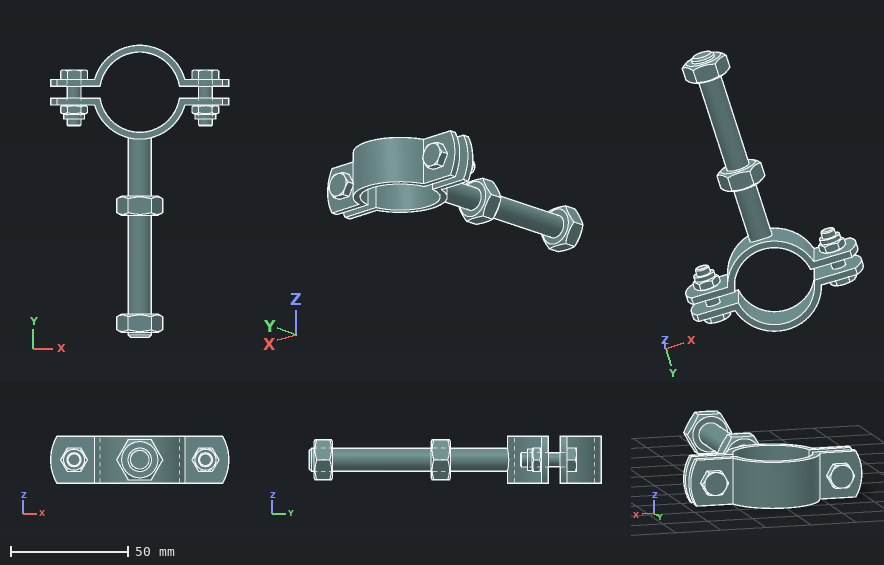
import cadquery as cq
import math


OVERALL_LENGTH = 124.4
RING_RADIUS = 20.0
STRAP_THICKNESS = 3.0
STRAP_HEIGHT = 20.0
CLAMP_GAP = 5.0
CLAMP_WIDTH = 76.0
EAR_TIP_RADIUS = 20.0

BOLT_SPACING = 56.0
BOLT_DIAMETER = 6.0
BOLT_TIP_Y = -14.4
BOLT_TIP_CHAMFER = 0.5
BOLT_HEX = 10.0
BOLT_HEAD_HEIGHT = 4.0
BOLT_HEAD_FACE = 10.0

LOCK_NUT_HEIGHT = 4.0
LOCK_NUT_COLLAR_DIAMETER = 9.0
LOCK_NUT_COLLAR_HEIGHT = 2.0

STUD_DIAMETER = 10.0
STUD_TIP_CHAMFER = 1.0
STUD_NUT_HEX = 17.0
STUD_NUT_FACE = 15.4
MIDDLE_NUT_Y = -44.2
MIDDLE_NUT_HEIGHT = 8.3
END_NUT_Y = -94.5
END_NUT_HEIGHT = 8.0

BEVEL_ANGLE = 30.0

RING_INNER_RADIUS = RING_RADIUS - STRAP_THICKNESS
EAR_INNER_Y = CLAMP_GAP / 2
EAR_OUTER_Y = EAR_INNER_Y + STRAP_THICKNESS
STUD_TIP_Y = RING_RADIUS - OVERALL_LENGTH
BOLT_XS = (-BOLT_SPACING / 2, BOLT_SPACING / 2)


def cylinder_along_y(diameter, x, y_start, y_end):
    """Cylinder parallel to Y, from y_start down to y_end."""
    plane = cq.Workplane("XZ", origin=(x, y_start, 0))
    return plane.circle(diameter / 2).extrude(y_start - y_end)


def hexagon(across_flats, face_diameter, height, x, y_start, bevel_start=True):
    """Hexagonal prism from y_start towards -Y with corners on +X and -X.

    The corners are bevelled at the -Y end, and at the start too when bevel_start is set.
    """
    across_corners = across_flats / math.cos(math.radians(30))
    corner_radius = across_corners / 2
    face_radius = face_diameter / 2
    bevel_height = (corner_radius - face_radius) * math.tan(math.radians(BEVEL_ANGLE))
    prism = cq.Workplane("XZ", origin=(x, y_start, 0)).polygon(6, across_corners).extrude(height)

    envelope = cq.Workplane("XY", origin=(x, y_start, 0))
    if bevel_start:
        envelope = envelope.lineTo(face_radius, 0).lineTo(corner_radius, -bevel_height)
    else:
        envelope = envelope.lineTo(corner_radius, 0)
    envelope = (
        envelope.lineTo(corner_radius, bevel_height - height)
        .lineTo(face_radius, -height)
        .lineTo(0, -height)
        .close()
        .revolve(360, (0, 0, 0), (0, 1, 0))
    )
    return prism.intersect(envelope)


def ear_outline():
    """Prism along Y that rounds the ear tips of both strap halves."""
    half_height = STRAP_HEIGHT / 2
    tip_x = CLAMP_WIDTH / 2
    corner_x = tip_x - EAR_TIP_RADIUS + math.sqrt(EAR_TIP_RADIUS**2 - half_height**2)
    return (
        cq.Workplane("XZ")
        .moveTo(-corner_x, -half_height)
        .lineTo(corner_x, -half_height)
        .threePointArc((tip_x, 0), (corner_x, half_height))
        .lineTo(-corner_x, half_height)
        .threePointArc((-tip_x, 0), (-corner_x, -half_height))
        .close()
        .extrude(RING_RADIUS, both=True)
    )


def strap_half(side):
    """Half ring with two drilled ears; side is +1 for the +Y half and -1 for the -Y half."""
    ear_end_x = CLAMP_WIDTH / 2
    inner_x = math.sqrt(RING_INNER_RADIUS**2 - EAR_INNER_Y**2)
    outer_x = math.sqrt(RING_RADIUS**2 - EAR_OUTER_Y**2)
    strap = (
        cq.Workplane("XY", origin=(0, 0, -STRAP_HEIGHT / 2))
        .moveTo(-ear_end_x, side * EAR_INNER_Y)
        .lineTo(-inner_x, side * EAR_INNER_Y)
        .threePointArc((0, side * RING_INNER_RADIUS), (inner_x, side * EAR_INNER_Y))
        .lineTo(ear_end_x, side * EAR_INNER_Y)
        .lineTo(ear_end_x, side * EAR_OUTER_Y)
        .lineTo(outer_x, side * EAR_OUTER_Y)
        .threePointArc((0, side * RING_RADIUS), (-outer_x, side * EAR_OUTER_Y))
        .lineTo(-ear_end_x, side * EAR_OUTER_Y)
        .close()
        .extrude(STRAP_HEIGHT)
        .intersect(ear_outline())
    )
    for x in BOLT_XS:
        strap = strap.cut(cylinder_along_y(BOLT_DIAMETER, x, EAR_OUTER_Y, -EAR_OUTER_Y))
    return strap


def stud_clamp():
    """The -Y strap half with the stud welded to the middle of its ring."""
    root_y = STRAP_THICKNESS / 2 - RING_RADIUS
    stud = cylinder_along_y(STUD_DIAMETER, 0, root_y, STUD_TIP_Y)
    stud = stud.faces("<Y").chamfer(STUD_TIP_CHAMFER)
    return strap_half(-1).union(stud)


def clamp_bolt(x):
    """Hexagon-head bolt with its head against the +Y ear."""
    shank = cylinder_along_y(BOLT_DIAMETER, x, EAR_OUTER_Y, BOLT_TIP_Y)
    shank = shank.faces("<Y").chamfer(BOLT_TIP_CHAMFER)
    head = hexagon(BOLT_HEX, BOLT_HEAD_FACE, BOLT_HEAD_HEIGHT, x, -EAR_OUTER_Y, bevel_start=False)
    return shank.union(head.mirror("XZ"))


def lock_nut(x):
    """Hexagon nut with a round collar, against the -Y ear."""
    collar_start_y = -EAR_OUTER_Y - LOCK_NUT_HEIGHT
    collar_end_y = collar_start_y - LOCK_NUT_COLLAR_HEIGHT
    body = hexagon(BOLT_HEX, LOCK_NUT_COLLAR_DIAMETER, LOCK_NUT_HEIGHT, x, -EAR_OUTER_Y)
    collar = cylinder_along_y(LOCK_NUT_COLLAR_DIAMETER, x, collar_start_y, collar_end_y)
    bore = cylinder_along_y(BOLT_DIAMETER, x, -EAR_OUTER_Y, collar_end_y)
    return body.union(collar).cut(bore)


def stud_nut(y_start, height):
    """Hexagon nut on the stud, bevelled at both ends."""
    bore = cylinder_along_y(STUD_DIAMETER, 0, y_start, y_start - height)
    return hexagon(STUD_NUT_HEX, STUD_NUT_FACE, height, 0, y_start).cut(bore)


back_clamp = strap_half(1)
front_clamp = stud_clamp()
clamp_bolts = [clamp_bolt(x) for x in BOLT_XS]
lock_nuts = [lock_nut(x) for x in BOLT_XS]
middle_nut = stud_nut(MIDDLE_NUT_Y, MIDDLE_NUT_HEIGHT)
end_nut = stud_nut(END_NUT_Y, END_NUT_HEIGHT)

result = cq.Compound.makeCompound([
    back_clamp.val(),
    front_clamp.val(),
    *[bolt.val() for bolt in clamp_bolts],
    *[nut.val() for nut in lock_nuts],
    middle_nut.val(),
    end_nut.val(),
])